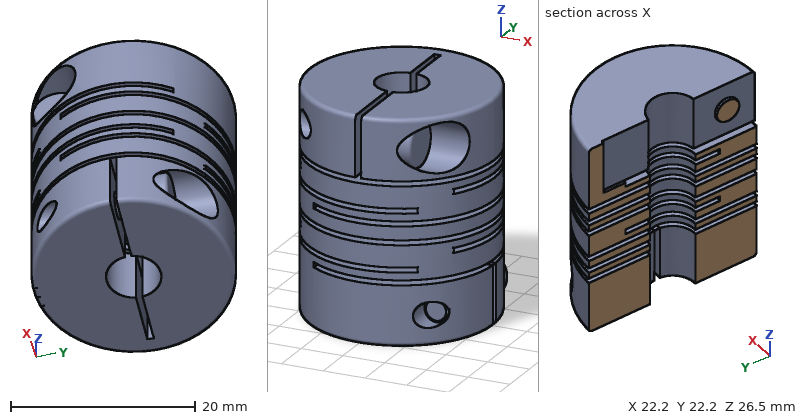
import cadquery as cq

length = 26.5
outer_radius = 11.1
bore_radius = 3.0
rim_fillet = 0.5

slot_width = 0.58
web_chord = 6.23
top_slot_height = 19.03
opposed_slot_step = 1.48
pair_step = 3.18
group_step = 6.86

slit_width = 0.72
slit_end = 9.12

screw_offset = 7.31
screw_height = 22.9
shank_radius = 1.5
tip_chamfer = 0.3
tip_position = -6.85
head_radius = 2.75
pocket_radius = 2.95
head_base = 3.29
head_end = 5.78
head_fillet = 0.4

cutter_span = 3 * outer_radius


def make_body():
    body = cq.Workplane("XY").circle(outer_radius).extrude(length)
    body = body.edges("%CIRCLE").fillet(rim_fillet)
    return body.cut(cq.Workplane("XY").circle(bore_radius).extrude(length))


def beam_slot(height, angle):
    """Cut open towards -Y at angle 0, leaving the web on the +Y side."""
    slot = (
        cq.Workplane("XY")
        .box(cutter_span, cutter_span, slot_width)
        .translate((0, web_chord - cutter_span / 2, height))
    )
    return slot.rotate((0, 0, 0), (0, 0, 1), angle)


def beam_slots():
    """Top-down list of the slots: two groups of two opposed pairs at right angles."""
    slots = []
    for group in range(2):
        for pair in range(2):
            for side in range(2):
                drop = group * group_step + pair * pair_step + side * opposed_slot_step
                angle = 180 * side - 90 * pair
                slots.append(beam_slot(top_slot_height - drop, angle))
    return slots


def along_x(radius, start, end):
    """Cylinder on the axis of the upper clamp screw, between two X positions."""
    return (
        cq.Workplane("YZ", origin=(start, -screw_offset, screw_height))
        .circle(radius)
        .extrude(end - start)
    )


def clamp_cutters():
    """Slit, screw hole and head pocket of the upper hub."""
    slit_length = slit_end + cutter_span / 2
    slit_height = length - top_slot_height - slot_width / 2
    slit = (
        cq.Workplane("XY")
        .box(slit_width, slit_length, slit_height)
        .translate((0, slit_end - slit_length / 2, length - slit_height / 2))
    )
    hole = along_x(shank_radius, -outer_radius, head_base)
    pocket = along_x(pocket_radius, head_base, outer_radius)
    return slit.union(hole).union(pocket)


def clamp_screw():
    """Screw of the upper hub, filling its hole, with the head on the +X side."""
    shank = along_x(shank_radius, tip_position, head_base).faces("<X").chamfer(tip_chamfer)
    head = along_x(head_radius, head_base, head_end).faces(">X").edges().fillet(head_fillet)
    return shank.union(head)


def to_lower_hub(shape):
    """Mirror a shape of the upper hub to the lower one, with a quarter turn about Z."""
    mirrored = shape.mirror("XY", (0, 0, length / 2))
    return mirrored.rotate((0, 0, 0), (0, 0, 1), 90)


result = make_body()
for slot in beam_slots():
    result = result.cut(slot)
cutters = clamp_cutters()
screw = clamp_screw()
result = result.cut(cutters).cut(to_lower_hub(cutters))
result = result.union(screw).union(to_lower_hub(screw))